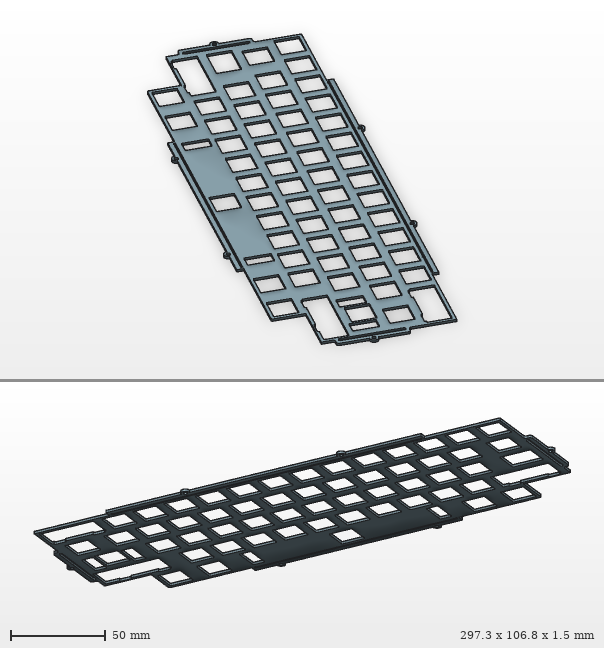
import cadquery as cq

THICKNESS = 1.5
UNIT = 19.05
SWITCH = 14.0
CORNER_RADIUS = 0.5
ENTER_ROW = 2
ENTER_POSITION = 6.375
SPACEBAR_ROW = 4

TOTAL_X = 297.33
TOTAL_Y = 106.85

EYELET_DIAMETER = 5.0
EYELET_HOLE = 2.2
LONG_EYELET_X = 2.5 * UNIT

BODY_HALF_X = 142.25
FOOT_HALF_X = 113.75
BODY_HALF_Y = 47.05
SHOULDER_Y = -28.0
FOOT_CORNER_RADIUS = 1.0

LONG_TAB_REACH = (TOTAL_Y - EYELET_DIAMETER) / 2
REAR_TAB_HALF_X = 96.3
FRONT_TAB_HALF_X = 63.25
LONG_SLOT_INNER_Y = 47.15
LONG_SLOT_WIDTH = 1.0
LONG_SLOT_END_WALL = 1.5

SIDE_TAB_REACH = (TOTAL_X - EYELET_DIAMETER) / 2
SIDE_TAB_HALF_Y = 20.5
SIDE_TAB_RADIUS = 1.5
SIDE_SLOT_INNER_X = 141.8
SIDE_SLOT_WIDTH = 1.8
SIDE_SLOT_HALF_Y = 18.6

STAB_WIDTH = 7.0
STAB_OFFSET = 11.94
SPACEBAR_STAB_OFFSET = 3 * UNIT
STAB_NEAR = 6.0
STAB_FAR = 9.0
STAB_NOTCH_FAR = 8.0


def box(x_min, x_max, y_min, y_max):
    """Plate-thick block between the given limits."""
    block = cq.Workplane("XY").box(x_max - x_min, y_max - y_min, THICKNESS, centered=False)
    return block.translate((x_min, y_min, 0))


def rounded_box(x_min, x_max, y_min, y_max, radius=CORNER_RADIUS):
    """Plate-thick block with rounded vertical edges."""
    return box(x_min, x_max, y_min, y_max).edges("|Z").fillet(radius)


def disc(x, y, diameter):
    """Plate-thick cylinder."""
    return cq.Workplane("XY").center(x, y).circle(diameter / 2).extrude(THICKNESS)


def row_y(row):
    """Centre of a key row, counted from 0 at the rear to 4 at the front."""
    return (2 - row) * UNIT


def switch_opening(row, first, last):
    """Opening that spans the switch positions first to last, given in key units."""
    half = SWITCH / 2
    y = row_y(row)
    return rounded_box(first * UNIT - half, last * UNIT + half, y - half, y + half)


def stabilizer_pair(row, key_x, offset, near, far):
    """Two stabilizer cutouts; near is the rear reach and far the front reach."""
    y = row_y(row)
    half = STAB_WIDTH / 2
    centres = (key_x * UNIT - offset, key_x * UNIT + offset)
    return [rounded_box(x - half, x + half, y - far, y + near) for x in centres]


def key_openings():
    """All switch and stabilizer openings."""
    runs = [
        (0, -7, 5),
        (1, -5.5, 5.5),
        (2, -5.25, 4.75),
        (3, -4.75, 4.25),
    ]
    singles = [
        (1, -6.75),
        (1, 6.75),
        (ENTER_ROW, ENTER_POSITION),
        (4, -5.5),
        (4, -4.25),
        (SPACEBAR_ROW, 0),
        (4, 4.25),
        (4, 5.5),
    ]
    wide = [
        (0, 6, 7),
        (2, -6.875, -6.625),
        (3, -6.875, -5.75),
        (3, 5.625, 7),
    ]
    merged_stabilizers = [
        (0, 6.5),
        (3, -6.375),
        (3, 6.125),
    ]

    openings = []
    for row, first, last in runs:
        for step in range(round(last - first) + 1):
            openings.append(switch_opening(row, first + step, first + step))
    for row, position in singles:
        openings.append(switch_opening(row, position, position))
    for row, first, last in wide:
        openings.append(switch_opening(row, first, last))
    for row, position in merged_stabilizers:
        openings += stabilizer_pair(row, position, STAB_OFFSET, STAB_NEAR, STAB_NOTCH_FAR)
    openings += stabilizer_pair(ENTER_ROW, ENTER_POSITION, STAB_OFFSET, STAB_NEAR, STAB_FAR)
    openings += stabilizer_pair(SPACEBAR_ROW, 0, SPACEBAR_STAB_OFFSET, STAB_FAR, STAB_NEAR)
    return openings


def plate_body():
    """Plate with the narrower front foot and the two rounded side tabs."""
    body = box(-BODY_HALF_X, BODY_HALF_X, SHOULDER_Y, BODY_HALF_Y)
    tabs = box(-SIDE_TAB_REACH, SIDE_TAB_REACH, -SIDE_TAB_HALF_Y, SIDE_TAB_HALF_Y)
    body = body.union(tabs)
    for side in (-1, 1):
        for x in (BODY_HALF_X, SIDE_TAB_REACH):
            for y in (-SIDE_TAB_HALF_Y, SIDE_TAB_HALF_Y):
                corner = cq.selectors.NearestToPointSelector((side * x, y, THICKNESS / 2))
                body = body.edges("|Z").edges(corner).fillet(SIDE_TAB_RADIUS)
    foot = box(-FOOT_HALF_X, FOOT_HALF_X, -BODY_HALF_Y, 0)
    foot = foot.edges("|Z and <Y").fillet(FOOT_CORNER_RADIUS)
    return body.union(foot)


def long_tab(side, half_x):
    """Tab on the rear (side 1) or front (side -1) edge."""
    y_limits = sorted((side * (BODY_HALF_Y - LONG_SLOT_WIDTH), side * LONG_TAB_REACH))
    return box(-half_x, half_x, *y_limits)


def long_slot(side, half_x):
    """Slot that frees the rear or front tab from the plate."""
    y_limits = sorted((side * LONG_SLOT_INNER_Y, side * (LONG_SLOT_INNER_Y + LONG_SLOT_WIDTH)))
    slot_half_x = half_x - LONG_SLOT_END_WALL
    return box(-slot_half_x, slot_half_x, *y_limits)


def side_slot(side):
    """Round-ended slot that frees a side tab from the plate."""
    length = 2 * SIDE_SLOT_HALF_Y
    x = side * (SIDE_SLOT_INNER_X + SIDE_SLOT_WIDTH / 2)
    return cq.Workplane("XY").center(x, 0).slot2D(length, SIDE_SLOT_WIDTH, 90).extrude(THICKNESS)


def eyelet_centres():
    """Centres of the six screw eyelets."""
    centres = [(-SIDE_TAB_REACH, 0), (SIDE_TAB_REACH, 0)]
    for x in (-LONG_EYELET_X, LONG_EYELET_X):
        centres += [(x, -LONG_TAB_REACH), (x, LONG_TAB_REACH)]
    return centres


def cut_all(solid, cutters):
    """Remove every cutter from the solid in one operation."""
    return cq.Workplane("XY").newObject([solid.val().cut(*[cutter.val() for cutter in cutters])])


plate = plate_body()
cutters = key_openings()
for side, half_x in ((1, REAR_TAB_HALF_X), (-1, FRONT_TAB_HALF_X)):
    plate = plate.union(long_tab(side, half_x))
    cutters.append(long_slot(side, half_x))
for side in (-1, 1):
    cutters.append(side_slot(side))
for x, y in eyelet_centres():
    plate = plate.union(disc(x, y, EYELET_DIAMETER))
    cutters.append(disc(x, y, EYELET_HOLE))
result = cut_all(plate, cutters)